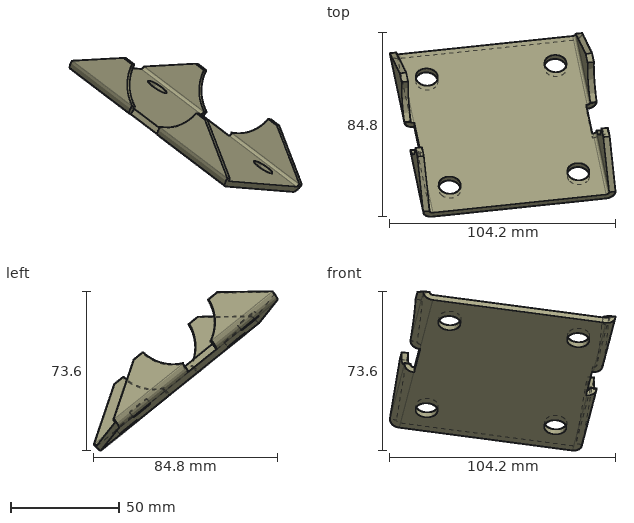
import cadquery as cq
import math

thickness = 3.0
flat_width = 81.0
length = 95.1
outer_bend_radius = 4.5
inner_bend_radius = outer_bend_radius - thickness
flange_height = 20.1

cradle_radius = 19.9
cradle_y = 45.2
cradle_z = 22.6

front_flange_end = 36.6
front_flange_peak = 20.2
rear_flange_start = 53.8
rear_flange_peak = 70.1
gap_inset = 0.3

hole_diameter = 10.2
hole_spacing_x = 60.2
hole_spacing_y = 64.8

heading = 5.98
dip = 7.49
roll = -38.65


def make_plate():
    plate = cq.Workplane("XY").box(flat_width, length, thickness, centered=(True, False, False))
    gap_length = rear_flange_start - front_flange_end
    gap_strip = (
        cq.Workplane("XY")
        .box(gap_inset, gap_length, thickness, centered=False)
        .translate((flat_width / 2 - gap_inset, front_flange_end, 0))
    )
    return plate.cut(gap_strip).cut(gap_strip.mirror("YZ"))


def make_channel_side():
    """Full-length bend and upright wall on the +x side."""
    bend_x = flat_width / 2
    outer_x = bend_x + outer_bend_radius
    inner_x = bend_x + inner_bend_radius
    diagonal = math.sqrt(0.5)
    outer_mid = (bend_x + outer_bend_radius * diagonal, outer_bend_radius * (1 - diagonal))
    inner_mid = (bend_x + inner_bend_radius * diagonal, outer_bend_radius - inner_bend_radius * diagonal)
    return (
        cq.Workplane("XZ")
        .moveTo(bend_x, 0)
        .threePointArc(outer_mid, (outer_x, outer_bend_radius))
        .lineTo(outer_x, flange_height)
        .lineTo(inner_x, flange_height)
        .lineTo(inner_x, outer_bend_radius)
        .threePointArc(inner_mid, (bend_x, thickness))
        .close()
        .extrude(-length)
    )


def side_prism(outer_end, peak, inner_end):
    """Flange outline seen along x: upright ends at the bend, one sloping outer edge."""
    return (
        cq.Workplane("YZ")
        .moveTo(outer_end, 0)
        .lineTo(outer_end, outer_bend_radius)
        .lineTo(peak, flange_height)
        .lineTo(cradle_y, flange_height)
        .lineTo(cradle_y, outer_bend_radius)
        .lineTo(inner_end, outer_bend_radius)
        .lineTo(inner_end, 0)
        .close()
        .extrude(flat_width)
    )


def make_flanges():
    outlines = side_prism(0, front_flange_peak, front_flange_end).union(
        side_prism(length, rear_flange_peak, rear_flange_start)
    )
    cradle = cq.Workplane("YZ").center(cradle_y, cradle_z).circle(cradle_radius).extrude(flat_width)
    right_side = make_channel_side().intersect(outlines).cut(cradle)
    return right_side.union(right_side.mirror("YZ"))


def make_holes():
    return (
        cq.Workplane("XY")
        .center(0, length / 2)
        .rect(hole_spacing_x, hole_spacing_y, forConstruction=True)
        .vertices()
        .circle(hole_diameter / 2)
        .extrude(thickness)
    )


def orient(body):
    origin = (0, 0, 0)
    body = body.rotate(origin, (1, 0, 0), roll)
    body = body.rotate(origin, (0, 1, 0), dip)
    return body.rotate(origin, (0, 0, 1), heading)


bracket = make_plate().union(make_flanges()).cut(make_holes())
result = orient(bracket)